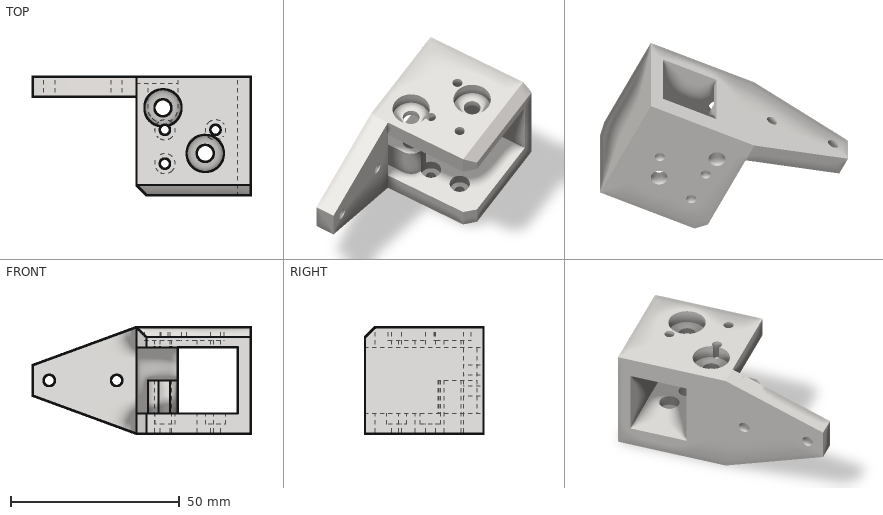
import cadquery as cq

LENGTH = 64.65
DEPTH = 35.2
HEIGHT = 31.6
BODY_LEFT = 30.7
BODY_WIDTH = LENGTH - BODY_LEFT
MID_Z = HEIGHT / 2

PLATE = 6.0
SIDE_WALL = 3.95
CHAMFER = 3.0
BACK_WALL = 2.0
INNER_HEIGHT = HEIGHT - 2 * PLATE

ARM_TIP_HEIGHT = 9.1
ARM_HOLE_DIAMETER = 3.3
ARM_HOLE_X = 4.9
ARM_HOLE_PITCH = 20.0

SHAFT_DIAMETER = 5.0
SHAFT_SEAT_DIAMETER = 11.05
SHAFT_SEAT_DEPTH = 4.0
BOSS_CENTER = (BODY_LEFT + 7.9, DEPTH - 9.25)
SHAFT_CENTERS = [BOSS_CENTER, (BODY_LEFT + 20.4, DEPTH - 22.75)]

SCREW_DIAMETER = 3.0
SCREW_HEAD_DIAMETER = 6.0
SCREW_HEAD_DEPTH = 3.2
SCREW_PITCH_X = 15.0
SCREW_PITCH_Y = 10.0
SCREW_X = BODY_LEFT + 8.5
SCREW_Y = DEPTH - 15.8
SCREW_CENTERS = [
    (SCREW_X, SCREW_Y),
    (SCREW_X + SCREW_PITCH_X, SCREW_Y),
    (SCREW_X, SCREW_Y - SCREW_PITCH_Y),
]

BOSS_RADIUS = 4.45
BACK_WALL_WIDTH = BOSS_CENTER[0] + BOSS_RADIUS - BODY_LEFT


def box(x, y, z, width, depth, height):
    """Box with its lowest corner at (x, y, z)."""
    return cq.Workplane("XY").box(width, depth, height, centered=False).translate((x, y, z))


def vertical_cylinders(centers, diameter, bottom, top):
    """Upright cylinders spanning bottom to top."""
    return (
        cq.Workplane("XY", origin=(0, 0, bottom))
        .pushPoints(centers)
        .circle(diameter / 2)
        .extrude(top - bottom)
    )


def plate(z):
    """Horizontal plate with its front left corner cut off."""
    blank = box(BODY_LEFT, 0, z, BODY_WIDTH, DEPTH, PLATE)
    return blank.edges("|Z and <X and <Y").chamfer(CHAMFER)


def top_plate():
    """Upper plate, also bevelled along its upper front edge."""
    bevel = (
        cq.Workplane("YZ", origin=(BODY_LEFT, 0, 0))
        .moveTo(0, HEIGHT)
        .lineTo(CHAMFER, HEIGHT)
        .lineTo(0, HEIGHT - CHAMFER)
        .close()
        .extrude(BODY_WIDTH)
    )
    return plate(HEIGHT - PLATE).cut(bevel)


def arm():
    """Flat arm at the back, tapering to its tip, with two holes."""
    blank = (
        cq.Workplane("XZ", origin=(0, DEPTH, 0))
        .moveTo(BODY_LEFT, 0)
        .lineTo(BODY_LEFT, HEIGHT)
        .lineTo(0, MID_Z + ARM_TIP_HEIGHT / 2)
        .lineTo(0, MID_Z - ARM_TIP_HEIGHT / 2)
        .close()
        .extrude(PLATE)
    )
    holes = (
        cq.Workplane("XZ", origin=(0, DEPTH, 0))
        .pushPoints([(ARM_HOLE_X, MID_Z), (ARM_HOLE_X + ARM_HOLE_PITCH, MID_Z)])
        .circle(ARM_HOLE_DIAMETER / 2)
        .extrude(PLATE)
    )
    return blank.cut(holes)


def boss():
    """Round-nosed half-height boss joined to the back wall."""
    x, y = BOSS_CENTER
    nose = vertical_cylinders([BOSS_CENTER], 2 * BOSS_RADIUS, PLATE, MID_Z)
    return nose.union(box(x - BOSS_RADIUS, y, PLATE, 2 * BOSS_RADIUS, DEPTH - y, MID_Z - PLATE))


back_wall = box(BODY_LEFT, DEPTH - BACK_WALL, PLATE, BACK_WALL_WIDTH, BACK_WALL, INNER_HEIGHT)
side_wall = box(LENGTH - SIDE_WALL, 0, PLATE, SIDE_WALL, DEPTH, INNER_HEIGHT)

body = plate(0)
for piece in (top_plate(), back_wall, side_wall, arm(), boss()):
    body = body.union(piece)

cutters = (
    vertical_cylinders(SHAFT_CENTERS, SHAFT_DIAMETER, 0, HEIGHT),
    vertical_cylinders(SHAFT_CENTERS, SHAFT_SEAT_DIAMETER, HEIGHT - SHAFT_SEAT_DEPTH, HEIGHT),
    vertical_cylinders(SCREW_CENTERS, SCREW_DIAMETER, 0, HEIGHT),
    vertical_cylinders(SCREW_CENTERS, SCREW_HEAD_DIAMETER, PLATE - SCREW_HEAD_DEPTH, MID_Z),
)
for cutter in cutters:
    body = body.cut(cutter)

result = body